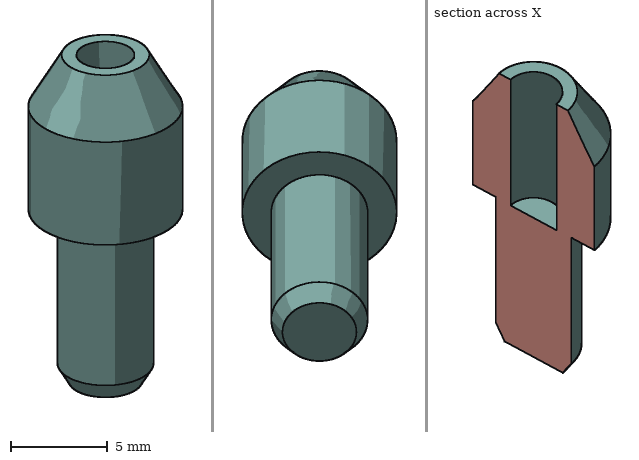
import cadquery as cq
import math

total_length = 19.0
head_diameter = 8.0
head_height = 9.0
head_taper_height = 3.0
shank_diameter = 5.0
tip_taper_height = 1.0
taper_angle = 30.0
bore_diameter = 3.0

head_radius = head_diameter / 2
shank_radius = shank_diameter / 2
shank_length = total_length - head_height
taper_slope = math.tan(math.radians(taper_angle))
head_top_radius = head_radius - head_taper_height * taper_slope
tip_radius = shank_radius - tip_taper_height * taper_slope
bore_depth = head_height


def make_pin():
    """Revolve the stepped half profile, in the XZ plane, about the Z axis."""
    return (
        cq.Workplane("XZ")
        .moveTo(0, 0)
        .lineTo(tip_radius, 0)
        .lineTo(shank_radius, tip_taper_height)
        .lineTo(shank_radius, shank_length)
        .lineTo(head_radius, shank_length)
        .lineTo(head_radius, total_length - head_taper_height)
        .lineTo(head_top_radius, total_length)
        .lineTo(0, total_length)
        .close()
        .revolve(360, (0, 0, 0), (0, 1, 0))
    )


result = make_pin().faces(">Z").workplane().hole(bore_diameter, bore_depth)